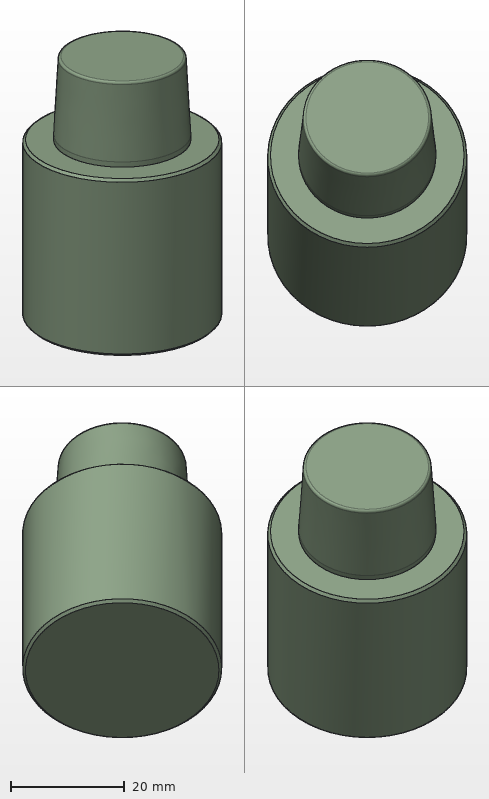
import cadquery as cq

body_diameter = 35
body_height = 34
body_edge = 0.5

overall_height = 50
pin_base_diameter = 24.15
pin_top_diameter = 22.5
pin_collar_height = 1
pin_edge = 0.5


def make_body():
    body = cq.Workplane("XY").circle(body_diameter / 2).extrude(body_height)
    return body.faces("<Z or >Z").edges().chamfer(body_edge)


def make_pin():
    base_radius = pin_base_diameter / 2
    top_radius = pin_top_diameter / 2
    profile = (
        cq.Workplane("XZ")
        .moveTo(0, body_height - body_edge)
        .lineTo(base_radius, body_height - body_edge)
        .lineTo(base_radius, body_height + pin_collar_height)
        .lineTo(top_radius, overall_height)
        .lineTo(0, overall_height)
        .close()
    )
    pin = profile.revolve(360, (0, 0, 0), (0, 1, 0))
    return pin.faces(">Z").edges().fillet(pin_edge)


result = make_body().union(make_pin())